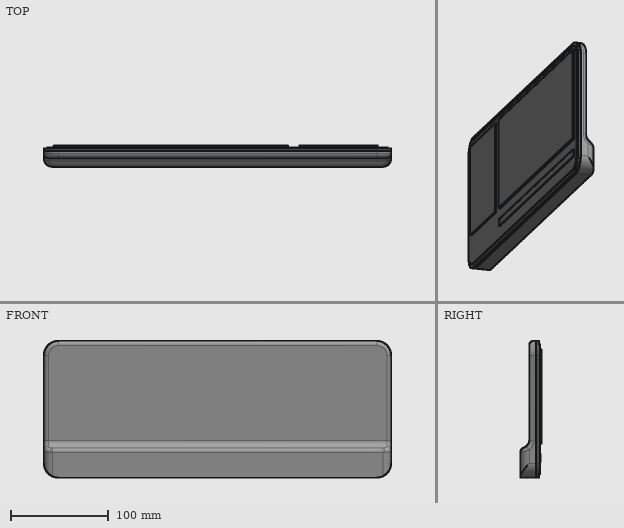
import cadquery as cq
import math

LENGTH = 355.0
HEIGHT = 140.0
TOTAL_DEPTH = 22.0
CORNER_RADIUS = 15.0
PANEL_FRONT_Y = 9.0
BODY_BACK_Y = 19.2

LEDGE_TOP_Z = 29.7
LEDGE_SLOPE_ANGLE = 18.0
LEDGE_SIDE_RADIUS = 9.0
FRONT_EDGE_RADIUS = 4.8
LEDGE_ROOT_RADIUS = 8.0

GROOVE_FRONT_Y = 16.0
GROOVE_WIDTH = 1.0
GROOVE_DEPTH = 0.3

PLATE_INSET = 3.7
PLATE_BACK_Y = 20.2

MAIN_PAD_LEFT = 10.0
MAIN_PAD_RIGHT = 250.0
SIDE_PAD_LEFT = 261.0
SIDE_PAD_RIGHT = 341.0
PADS_BOTTOM_Z = 35.0
PADS_TOP_Z = 131.5
MAIN_PAD_CHAMFER = 0.8
SIDE_PAD_CHAMFER = 1.6

STRIP_BOTTOM_Z = 16.5
STRIP_TOP_Z = 24.0
STRIP_BACK_Y = 21.2

TOLERANCE = 0.1


def rounded_slab(inset, front_y, back_y):
    """Slab that follows the body outline, moved inward by inset."""
    return (
        cq.Workplane("XZ", origin=(0, front_y, HEIGHT / 2))
        .rect(LENGTH - 2 * inset, HEIGHT - 2 * inset)
        .extrude(front_y - back_y)
        .edges("|Y")
        .fillet(CORNER_RADIUS - inset)
    )


def block(left, right, front_y, back_y, bottom_z, top_z):
    """Box placed by its distance from the left end of the body."""
    return cq.Workplane("XY").box(
        right - left, back_y - front_y, top_z - bottom_z, centered=False
    ).translate((left - LENGTH / 2, front_y, bottom_z))


def edges_near(body, x, y, z):
    """Edges whose centre lies at the given point."""
    low = (x - TOLERANCE, y - TOLERANCE, z - TOLERANCE)
    high = (x + TOLERANCE, y + TOLERANCE, z + TOLERANCE)
    return body.edges(cq.selectors.BoxSelector(low, high))


def make_body():
    ledge_root_z = LEDGE_TOP_Z + PANEL_FRONT_Y * math.tan(math.radians(LEDGE_SLOPE_ANGLE))
    profile = (
        cq.Workplane("YZ")
        .moveTo(0, 0)
        .lineTo(BODY_BACK_Y, 0)
        .lineTo(BODY_BACK_Y, HEIGHT)
        .lineTo(PANEL_FRONT_Y, HEIGHT)
        .lineTo(PANEL_FRONT_Y, ledge_root_z)
        .lineTo(0, LEDGE_TOP_Z)
        .close()
        .extrude(LENGTH / 2, both=True)
    )
    front_rounding = (
        cq.Workplane("XY")
        .box(LENGTH, BODY_BACK_Y, HEIGHT, centered=(True, False, False))
        .edges("|Z and <Y")
        .fillet(LEDGE_SIDE_RADIUS)
    )
    body = profile.intersect(rounded_slab(0, 0, BODY_BACK_Y))
    body = edges_near(body, 0, PANEL_FRONT_Y, ledge_root_z).fillet(LEDGE_ROOT_RADIUS)
    body = body.intersect(front_rounding)
    return edges_near(body, 0, 0, LEDGE_TOP_Z).fillet(FRONT_EDGE_RADIUS)


def make_groove():
    back_y = GROOVE_FRONT_Y + GROOVE_WIDTH
    outer = rounded_slab(0, GROOVE_FRONT_Y, back_y)
    inner = rounded_slab(GROOVE_DEPTH, GROOVE_FRONT_Y, back_y)
    return outer.cut(inner)


def make_back_plate():
    return rounded_slab(PLATE_INSET, BODY_BACK_Y, PLATE_BACK_Y)


def make_pads():
    main_pad = block(MAIN_PAD_LEFT, MAIN_PAD_RIGHT, PLATE_BACK_Y, TOTAL_DEPTH, PADS_BOTTOM_Z, PADS_TOP_Z)
    side_pad = block(SIDE_PAD_LEFT, SIDE_PAD_RIGHT, PLATE_BACK_Y, TOTAL_DEPTH, PADS_BOTTOM_Z, PADS_TOP_Z)
    strip = block(MAIN_PAD_LEFT, MAIN_PAD_RIGHT, PLATE_BACK_Y, STRIP_BACK_Y, STRIP_BOTTOM_Z, STRIP_TOP_Z)
    main_pad = main_pad.faces(">Y").edges().chamfer(MAIN_PAD_CHAMFER)
    side_pad = side_pad.faces(">Y").edges(">Z").chamfer(SIDE_PAD_CHAMFER)
    return main_pad.union(side_pad).union(strip)


result = make_body().cut(make_groove()).union(make_back_plate()).union(make_pads())